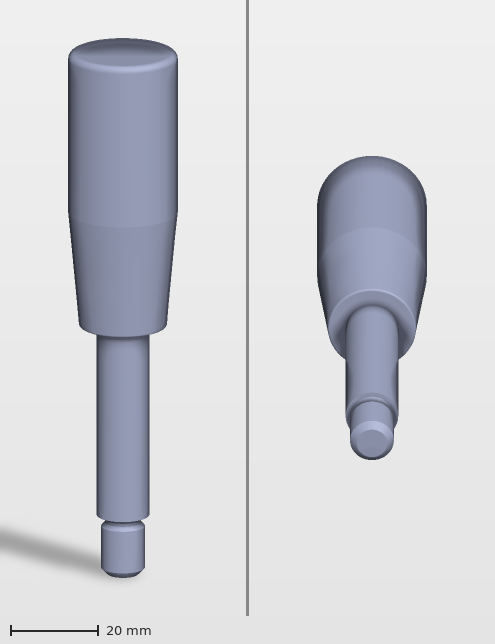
import cadquery as cq

grip_diameter = 25.0
grip_length = 65.0
grip_straight_length = 38.0
grip_base_diameter = 20.0
grip_top_fillet = 1.5
grip_base_fillet = 0.5

shaft_diameter = 12.0
shaft_length = 45.0

stud_diameter = 10.0
stud_length = 14.0
stud_tip_diameter = 7.0
stud_tip_chamfer_height = 1.5
neck_diameter = 8.3
neck_length = 2.6
neck_cone_height = 0.95

shaft_base_z = stud_length
grip_base_z = shaft_base_z + shaft_length
grip_top_z = grip_base_z + grip_length
taper_top_z = grip_top_z - grip_straight_length


def make_grip():
    """Solid handle: a straight upper cylinder above a tapered lower part."""
    grip = (
        cq.Workplane("XZ")
        .moveTo(0, grip_base_z)
        .lineTo(grip_base_diameter / 2, grip_base_z)
        .lineTo(grip_diameter / 2, taper_top_z)
        .lineTo(grip_diameter / 2, grip_top_z)
        .lineTo(0, grip_top_z)
        .close()
        .revolve(360, (0, 0, 0), (0, 1, 0))
    )
    grip = grip.faces(">Z").edges().fillet(grip_top_fillet)
    return grip.faces("<Z").edges().fillet(grip_base_fillet)


def make_shaft():
    """Plain round shaft between the stud and the grip."""
    return cq.Workplane("XY").workplane(offset=shaft_base_z).circle(shaft_diameter / 2).extrude(shaft_length)


def make_stud():
    """Stud with a chamfered tip and a relief neck, coned at both ends, under the shaft shoulder."""
    stud_radius = stud_diameter / 2
    tip_radius = stud_tip_diameter / 2
    neck_radius = neck_diameter / 2
    neck_base_z = stud_length - neck_length
    return (
        cq.Workplane("XZ")
        .lineTo(tip_radius, 0)
        .lineTo(stud_radius, stud_tip_chamfer_height)
        .lineTo(stud_radius, neck_base_z)
        .lineTo(neck_radius, neck_base_z + neck_cone_height)
        .lineTo(neck_radius, stud_length - neck_cone_height)
        .lineTo(stud_radius, stud_length)
        .lineTo(0, stud_length)
        .close()
        .revolve(360, (0, 0, 0), (0, 1, 0))
    )


result = make_grip().union(make_shaft()).union(make_stud())